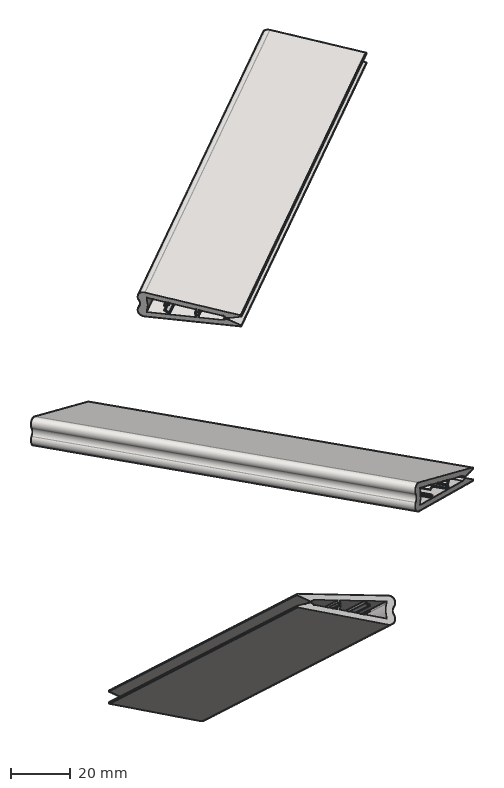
import cadquery as cq
import math

length = 152.4
width = 36.1
height = 10.0
jaw_slope = 0.08
jaw_thickness = 2.0

lobe_radius = 2.3
lobe_z = height / 2 - lobe_radius
groove_radius = 2.5
groove_center_x = lobe_radius - math.sqrt((lobe_radius + groove_radius) ** 2 - lobe_z ** 2)
groove_bottom_x = groove_center_x + groove_radius

cavity_x = 3.2
back_bulge = 0.3
bulge_half_height = 2.3
pinch_start_x = 29.7
pinch_x = 31.1
pinch_gap = 0.3
tip_chamfer_x = 35.8
tip_top_z = 2.1
mouth_z = 1.8
overlap = 0.5

jaw_angle = math.atan(jaw_slope)
tangent_x = lobe_radius * (1 + math.sin(jaw_angle))
tangent_z = lobe_z + lobe_radius * math.cos(jaw_angle)


def outer_z(x):
    return tangent_z - jaw_slope * (x - tangent_x)


def inner_z(x):
    return outer_z(x) - jaw_thickness


def half_body():
    """Upper half of the back and the upper jaw."""
    share = groove_radius / (lobe_radius + groove_radius)
    blend = (groove_center_x + share * (lobe_radius - groove_center_x), share * lobe_z)
    groove_angle = math.atan2(blend[1], blend[0] - groove_center_x) / 2
    groove_middle = (
        groove_center_x + groove_radius * math.cos(groove_angle),
        groove_radius * math.sin(groove_angle),
    )
    bulge_radius = (bulge_half_height ** 2 + back_bulge ** 2) / (2 * back_bulge)
    bulge_middle_z = bulge_half_height / 2
    bulge_center_x = cavity_x + back_bulge - bulge_radius
    bulge_middle_x = bulge_center_x + math.sqrt(bulge_radius ** 2 - bulge_middle_z ** 2)
    return (
        cq.Workplane("XZ")
        .moveTo(groove_bottom_x, 0)
        .threePointArc(groove_middle, blend)
        .threePointArc((0, lobe_z), (tangent_x, tangent_z))
        .lineTo(tip_chamfer_x, outer_z(tip_chamfer_x))
        .lineTo(width, tip_top_z)
        .lineTo(width, mouth_z)
        .lineTo(pinch_x, pinch_gap / 2)
        .lineTo(pinch_start_x, inner_z(pinch_start_x))
        .lineTo(cavity_x, inner_z(cavity_x))
        .lineTo(cavity_x, bulge_half_height)
        .threePointArc((bulge_middle_x, bulge_middle_z), (cavity_x + back_bulge, 0))
        .close()
        .extrude(-length)
    )


def barb(root_left, root_right, lip):
    """Gripping barb hanging from the upper jaw, with its lip points listed from left to right."""
    points = [(root_left, inner_z(root_left) + overlap)]
    points += lip
    points += [(root_right, inner_z(root_right) + overlap)]
    return cq.Workplane("XZ").polyline(points).close().extrude(-length)


hooked_barb = barb(10.7, 11.3, [(10.7, 2.0), (9.1, 1.0), (9.3, 0.8), (9.8, 0.8), (11.0, 1.5)])
middle_barb = barb(20.3, 21.2, [(20.3, 1.0), (20.0, 0.3), (20.4, 0.2), (21.0, 0.8)])

upper_half = half_body().union(hooked_barb).union(middle_barb)
result = upper_half.union(upper_half.mirror("XY"))